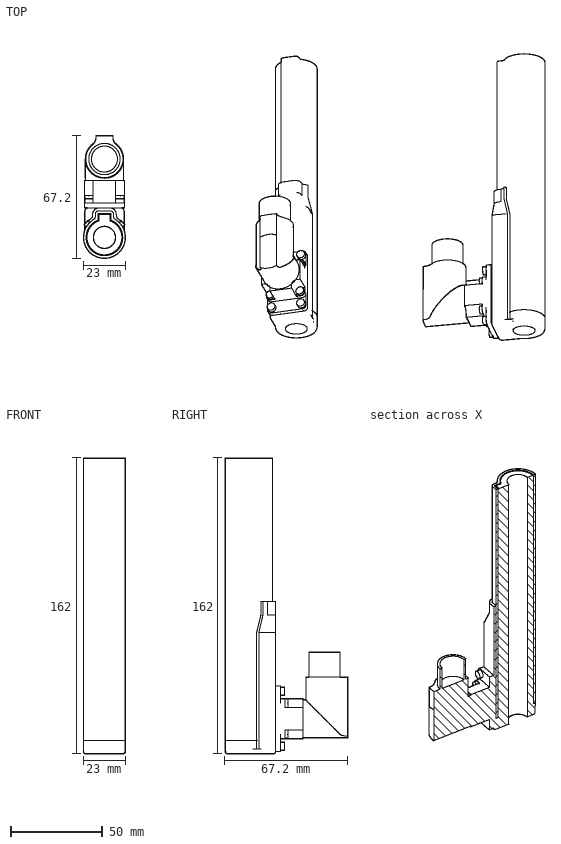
import cadquery as cq
import math

LENGTH = 162.0

TUBE_R = 11.5
WALL = 1.5
KEY_HALF_W = 5.0
KEY_TOP_Y = 14.5
KEY_CORNER_R = 2.0
KEY_ROOT_R = 1.5
SHELL_BOTTOM_Z = 7.3

CORE_R = TUBE_R - WALL
BORE_R = 6.0
CORE_CHAMFER = 0.5
CAP_BOTTOM_R = 1.3

COVER_Y = 16.2
COVER_TOP_Z = 83.6
TAPER_TOP_Z = 76.1
TAPER_BOTTOM_Z = 66.5
COVER_HALF_W = 10.9
COVER_CORNER_R = 2.1
COVER_FOOT_Z = 2.6
NECK_HALF_W = 6.5
NECK_CORNER_R = 3.5
COVER_FLANK_Y = 8.3
COVER_LIP_OUTER = (11.2, 7.0)
COVER_LIP_INNER = (9.9, 5.7)
COVER_HOLLOW = 0.2
NECK_FLANK_Y = 11.7
NECK_LIP_OUTER = (9.2, 9.2)
NECK_LIP_INNER = (8.1, 8.1)
NECK_HOLLOW = 0.5

CONNECTOR_Z = 19.3
BASE_HALF_W = 11.0
BASE_CORNER_R = 2.1
PLATE_HALF_H = 18.0
PLATE_FRONT_Y = 19.0
BLOCK_FRONT_Y = 31.1
BLOCK_CORNER_R = 2.5
NOTCH_BACK_Y = 21.2
NOTCH_SIZE = 4.9
NOTCH_R = 2.9

SCREW_X = 8.5
HEAD_R = 2.3
PLATE_SCREW_DZ = 15.0
PLATE_HEAD_H = 2.1
BLOCK_SCREW_DZ = SCREW_X
BLOCK_HEAD_H = 1.6

ELBOW_Y = 43.0
ARM_R = 10.5
RISER_R = 10.2
RISER_TOP_Z = 42.1
SPINE_HALF_W = 4.7
SPINE_Y = 55.7
SPINE_ROOT_R = 5.5
SOCKET_R = 8.6
SOCKET_BORE_R = 7.1
SOCKET_TOP_Z = 55.7

PICK_MARGIN = 0.2


def cylinder_z(radius, z_bottom, z_top, y=0.0):
    return cq.Workplane("XY", origin=(0, y, z_bottom)).circle(radius).extrude(z_top - z_bottom)


def cylinder_y(radius, y_start, y_end, x, z):
    """Cylinder along +Y from y_start to y_end."""
    return cq.Workplane("XZ", origin=(x, y_start, z)).circle(radius).extrude(y_start - y_end)


def block_y(half_w, half_h, y_start, y_end):
    """Block along +Y, centred on the connector axis."""
    plane = cq.Workplane("XZ", origin=(0, y_start, CONNECTOR_Z))
    return plane.rect(2 * half_w, 2 * half_h).extrude(y_start - y_end)


def block_z(half_w, y_end, z_bottom, z_top):
    """Upright block from the tube axis out to y_end."""
    plane = cq.Workplane("XY", origin=(0, y_end / 2, z_bottom))
    return plane.rect(2 * half_w, y_end).extrude(z_top - z_bottom)


def keyed_bar(radius, half_w, top_y, z_bottom):
    """Round bar with a square key on its +Y side, up to the full length."""
    key = block_z(half_w, top_y, z_bottom, LENGTH)
    return cylinder_z(radius, z_bottom, LENGTH).union(key)


def fillet_uprights(bar, half_w, y, radius):
    """Round the pair of vertical edges at x = +-half_w and the given y."""
    picker = cq.selectors.BoxSelector(
        (-half_w - PICK_MARGIN, y - PICK_MARGIN, 0),
        (half_w + PICK_MARGIN, y + PICK_MARGIN, LENGTH),
    )
    return bar.edges("|Z").edges(picker).fillet(radius)


def make_core_bar():
    """Core form that fills the shell; it also hollows the shell."""
    return keyed_bar(CORE_R, KEY_HALF_W - WALL, KEY_TOP_Y - WALL, SHELL_BOTTOM_Z)


def make_shell_bar():
    """Outer form of the shell, not yet hollowed."""
    bar = keyed_bar(TUBE_R, KEY_HALF_W, KEY_TOP_Y, SHELL_BOTTOM_Z)
    bar = fillet_uprights(bar, KEY_HALF_W, KEY_TOP_Y, KEY_CORNER_R)
    root_y = math.sqrt(TUBE_R**2 - KEY_HALF_W**2)
    return fillet_uprights(bar, KEY_HALF_W, root_y, KEY_ROOT_R)


def make_shell():
    return make_shell_bar().cut(make_core_bar())


def cover_outline(sketch, half_w, corner_r, flank_y, lip_outer, lip_inner, hollow):
    """Cover cross-section: rounded back, hollow flanks and a slanted lip on each side."""
    corner_x = half_w - corner_r
    corner_y = COVER_Y - corner_r
    outer_x, outer_y = lip_outer
    inner_x, inner_y = lip_inner
    return (
        sketch.moveTo(-corner_x, COVER_Y)
        .lineTo(corner_x, COVER_Y)
        .radiusArc((half_w, corner_y), corner_r)
        .lineTo(half_w, flank_y)
        .sagittaArc((outer_x, outer_y), -hollow)
        .lineTo(inner_x, inner_y)
        .lineTo(-inner_x, inner_y)
        .lineTo(-outer_x, outer_y)
        .sagittaArc((-half_w, flank_y), -hollow)
        .lineTo(-half_w, corner_y)
        .radiusArc((-corner_x, COVER_Y), corner_r)
        .close()
    )


def wide_outline(sketch):
    return cover_outline(
        sketch, COVER_HALF_W, COVER_CORNER_R, COVER_FLANK_Y,
        COVER_LIP_OUTER, COVER_LIP_INNER, COVER_HOLLOW,
    )


def neck_outline(sketch):
    return cover_outline(
        sketch, NECK_HALF_W, NECK_CORNER_R, NECK_FLANK_Y,
        NECK_LIP_OUTER, NECK_LIP_INNER, NECK_HOLLOW,
    )


def make_cover():
    """Wide cover that tapers into a narrow neck hugging the key."""
    wide = wide_outline(cq.Workplane("XY", origin=(0, 0, COVER_FOOT_Z)))
    wide = wide.extrude(TAPER_BOTTOM_Z - COVER_FOOT_Z)
    neck = neck_outline(cq.Workplane("XY", origin=(0, 0, TAPER_TOP_Z)))
    neck = neck.extrude(COVER_TOP_Z - TAPER_TOP_Z)
    taper = wide_outline(cq.Workplane("XY", origin=(0, 0, TAPER_BOTTOM_Z)))
    taper = neck_outline(taper.workplane(offset=TAPER_TOP_Z - TAPER_BOTTOM_Z))
    taper = taper.loft(ruled=True)
    return wide.union(taper).union(neck)


def make_cap():
    """Closed lower end of the tube with a foot under the cover."""
    foot = block_z(COVER_HALF_W, COVER_Y, 0, COVER_FOOT_Z)
    foot = fillet_uprights(foot, COVER_HALF_W, COVER_Y, COVER_CORNER_R)
    cap = cylinder_z(TUBE_R, 0, SHELL_BOTTOM_Z).union(foot)
    return cap.faces("<Z").edges().fillet(CAP_BOTTOM_R)


def make_screw_heads(y_start, height, dz):
    """Four heads around the connector axis, standing on the plane y = y_start."""
    heads = cq.Workplane("XY")
    for x in (-SCREW_X, SCREW_X):
        for z in (CONNECTOR_Z - dz, CONNECTOR_Z + dz):
            heads = heads.add(cylinder_y(HEAD_R, y_start, y_start + height, x, z))
    return heads.combine()


def make_connector_base():
    """Mounting plate and square block with a screw notch along each block corner."""
    plate = block_y(BASE_HALF_W, PLATE_HALF_H, COVER_Y, PLATE_FRONT_Y)
    plate = plate.edges("|Y").fillet(BASE_CORNER_R)
    rear_block = block_y(BASE_HALF_W, BASE_HALF_W, PLATE_FRONT_Y, NOTCH_BACK_Y)
    rear_block = rear_block.edges("|Y").fillet(BLOCK_CORNER_R)

    core_half = BASE_HALF_W - NOTCH_SIZE
    upright = block_y(core_half, BASE_HALF_W, NOTCH_BACK_Y, BLOCK_FRONT_Y)
    crossbar = block_y(BASE_HALF_W, core_half, NOTCH_BACK_Y, BLOCK_FRONT_Y)
    pick_half = core_half + PICK_MARGIN
    inner_corners = cq.selectors.BoxSelector(
        (-pick_half, NOTCH_BACK_Y, CONNECTOR_Z - pick_half),
        (pick_half, BLOCK_FRONT_Y, CONNECTOR_Z + pick_half),
    )
    plus = upright.union(crossbar).edges("|Y").edges(inner_corners).fillet(NOTCH_R)

    base = plate.union(rear_block).union(plus)
    base = base.union(make_screw_heads(PLATE_FRONT_Y, PLATE_HEAD_H, PLATE_SCREW_DZ))
    return base.union(make_screw_heads(NOTCH_BACK_Y, BLOCK_HEAD_H, BLOCK_SCREW_DZ))


def make_riser():
    """Upright leg of the elbow: a round column with a flat spine blended on at +Y."""
    z_bottom = CONNECTOR_Z - ARM_R
    blend_x = SPINE_HALF_W + SPINE_ROOT_R
    reach = RISER_R + SPINE_ROOT_R
    blend_y = math.sqrt(reach**2 - blend_x**2)
    column_x = blend_x * RISER_R / reach
    column_y = ELBOW_Y + blend_y * RISER_R / reach
    flank_y = ELBOW_Y + blend_y
    outline = (
        cq.Workplane("XY", origin=(0, 0, z_bottom))
        .moveTo(column_x, column_y)
        .threePointArc((0, ELBOW_Y - RISER_R), (-column_x, column_y))
        .radiusArc((-SPINE_HALF_W, flank_y), -SPINE_ROOT_R)
        .lineTo(-SPINE_HALF_W, SPINE_Y)
        .lineTo(SPINE_HALF_W, SPINE_Y)
        .lineTo(SPINE_HALF_W, flank_y)
        .radiusArc((column_x, column_y), -SPINE_ROOT_R)
        .close()
    )
    return outline.extrude(RISER_TOP_Z - z_bottom)


def make_mitre_wedge():
    """Everything below the 45 degree plane through the bend of the elbow."""
    reach = SPINE_Y - ELBOW_Y
    return (
        cq.Workplane("YZ")
        .moveTo(ELBOW_Y - reach, CONNECTOR_Z + reach)
        .lineTo(ELBOW_Y + reach, CONNECTOR_Z - reach)
        .lineTo(ELBOW_Y - reach, CONNECTOR_Z - reach)
        .close()
        .extrude(reach, both=True)
    )


def make_elbow():
    """Round arm and upright riser joined on a mitre, with a cable socket on top."""
    wedge = make_mitre_wedge()
    round_bar = cylinder_y(ARM_R, BLOCK_FRONT_Y, SPINE_Y, 0, CONNECTOR_Z)
    upper_space = cylinder_z(SPINE_Y, CONNECTOR_Z, RISER_TOP_Z)
    riser = make_riser().intersect(round_bar.union(upper_space)).cut(wedge)
    arm = round_bar.intersect(wedge)
    socket = cylinder_z(SOCKET_R, RISER_TOP_Z, SOCKET_TOP_Z, ELBOW_Y)
    socket = socket.cut(cylinder_z(SOCKET_BORE_R, RISER_TOP_Z, SOCKET_TOP_Z, ELBOW_Y))
    return riser.union(arm).union(socket)


def make_housing():
    """Core, end cap, cable cover and connector as one solid that fits the shell."""
    core = make_core_bar().faces(">Z").edges().chamfer(CORE_CHAMFER)
    cover = make_cover().cut(make_shell_bar())
    housing = make_cap().union(core).union(cover)
    housing = housing.union(make_connector_base()).union(make_elbow())
    return housing.cut(cylinder_z(BORE_R, 0, LENGTH))


shell = make_shell()
housing = make_housing()
result = cq.Compound.makeCompound([shell.solids().val(), housing.solids().val()])